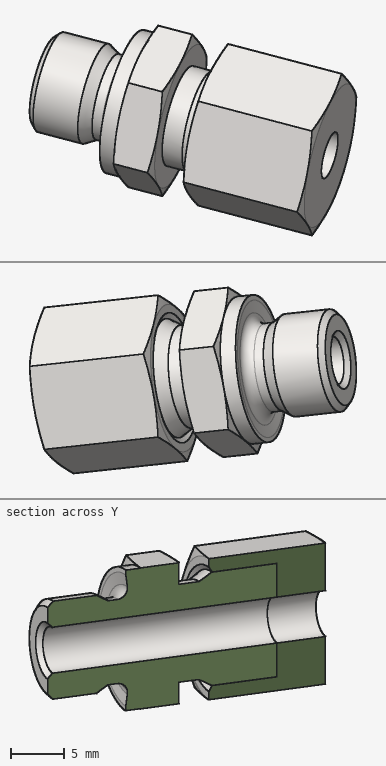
import cadquery as cq
import math


LENGTH = 28.5
HEX_FLATS = 14.0
HEX_CORNERS = HEX_FLATS / math.cos(math.radians(30))
HEX_CHAMFER_RADIUS = 6.98
HEX_CHAMFER_ANGLE = 15.0
BLANK_CLEARANCE = 0.28
BORE_RADIUS = 2.25
BORE_CHAMFER = 0.5

STUD_RADIUS = 4.87
STUD_CHAMFER = 0.57
STUD_LENGTH = 5.05
GROOVE_RADIUS = 4.2
GROOVE_END = 7.18
GROOVE_FILLET = 1.0
RUNOUT_SLOPE = math.tan(math.radians(30))

COLLAR_START = 8.0
COLLAR_RADIUS = HEX_CHAMFER_RADIUS
SEAL_ANGLE = math.radians(7.8)
BODY_HEX_START = 9.52
BODY_HEX_WIDTH = 4.0
BODY_HEX_END = BODY_HEX_START + BODY_HEX_WIDTH

NECK_RADIUS = STUD_RADIUS
NECK_END = 15.5
THREAD_RADIUS = 5.65
THREAD_START = NECK_END + (THREAD_RADIUS - NECK_RADIUS) / RUNOUT_SLOPE
BODY_END = 23.5

NUT_START = 16.53
NUT_LENGTH = LENGTH - NUT_START
NUT_COUNTERSINK_RADIUS = 6.15


def revolve_about_x(profile):
    """Turn a closed (X, radius) profile around the X axis."""
    return profile.close().revolve(360, (0, 0, 0), (1, 0, 0))


def chamfered_hexagon(start, length):
    """Hexagon with two flats facing +Z and -Z, its corners turned off conically at both ends."""
    blank_radius = HEX_CORNERS / 2 + BLANK_CLEARANCE
    chamfer_depth = (blank_radius - HEX_CHAMFER_RADIUS) * math.tan(math.radians(HEX_CHAMFER_ANGLE))
    end = start + length
    prism = cq.Workplane("YZ", origin=(start, 0, 0)).polygon(6, HEX_CORNERS).extrude(length)
    blank = revolve_about_x(
        cq.Workplane("XY")
        .moveTo(start, 0)
        .lineTo(start, HEX_CHAMFER_RADIUS)
        .lineTo(start + chamfer_depth, blank_radius)
        .lineTo(end - chamfer_depth, blank_radius)
        .lineTo(end, HEX_CHAMFER_RADIUS)
        .lineTo(end, 0)
    )
    return prism.intersect(blank)


def make_stud_and_collar():
    """Stud with chamfer and undercut groove, running by a fillet into the hollow collar face."""
    groove_start = STUD_LENGTH + (STUD_RADIUS - GROOVE_RADIUS) / RUNOUT_SLOPE
    fillet_center = GROOVE_RADIUS + GROOVE_FILLET

    def fillet_point(angle):
        return (
            GROOVE_END + GROOVE_FILLET * math.cos(angle),
            fillet_center + GROOVE_FILLET * math.sin(angle),
        )

    fillet_end = fillet_point(SEAL_ANGLE)
    fillet_middle = fillet_point((SEAL_ANGLE - math.pi / 2) / 2)
    rim_radius = fillet_end[1] + (fillet_end[0] - COLLAR_START) / math.tan(SEAL_ANGLE)
    return revolve_about_x(
        cq.Workplane("XY")
        .moveTo(0, 0)
        .lineTo(0, STUD_RADIUS - STUD_CHAMFER)
        .lineTo(STUD_CHAMFER, STUD_RADIUS)
        .lineTo(STUD_LENGTH, STUD_RADIUS)
        .lineTo(groove_start, GROOVE_RADIUS)
        .lineTo(GROOVE_END, GROOVE_RADIUS)
        .threePointArc(fillet_middle, fillet_end)
        .lineTo(COLLAR_START, rim_radius)
        .lineTo(COLLAR_START, COLLAR_RADIUS)
        .lineTo(BODY_HEX_START, COLLAR_RADIUS)
        .lineTo(BODY_HEX_START, 0)
    )


def make_neck_and_thread():
    """Neck behind the hexagon, widening by the thread runout cone to the nut thread."""
    return revolve_about_x(
        cq.Workplane("XY")
        .moveTo(BODY_HEX_END, 0)
        .lineTo(BODY_HEX_END, NECK_RADIUS)
        .lineTo(NECK_END, NECK_RADIUS)
        .lineTo(THREAD_START, THREAD_RADIUS)
        .lineTo(BODY_END, THREAD_RADIUS)
        .lineTo(BODY_END, 0)
    )


def make_body_bore():
    """Through bore with a chamfered mouth at the stud end."""
    return revolve_about_x(
        cq.Workplane("XY")
        .moveTo(0, 0)
        .lineTo(0, BORE_RADIUS + BORE_CHAMFER)
        .lineTo(BORE_CHAMFER, BORE_RADIUS)
        .lineTo(BODY_END, BORE_RADIUS)
        .lineTo(BODY_END, 0)
    )


def make_body():
    solid = make_stud_and_collar()
    solid = solid.union(chamfered_hexagon(BODY_HEX_START, BODY_HEX_WIDTH))
    solid = solid.union(make_neck_and_thread())
    return solid.cut(make_body_bore())


def make_nut():
    """Hexagon nut whose countersunk thread hole holds the body end, with the bore running on through."""
    thread_hole = revolve_about_x(
        cq.Workplane("XY")
        .moveTo(NUT_START, 0)
        .lineTo(NUT_START, NUT_COUNTERSINK_RADIUS)
        .lineTo(THREAD_START, THREAD_RADIUS)
        .lineTo(BODY_END, THREAD_RADIUS)
        .lineTo(BODY_END, 0)
    )
    rear_bore = (
        cq.Workplane("YZ", origin=(BODY_END, 0, 0)).circle(BORE_RADIUS).extrude(LENGTH - BODY_END)
    )
    return chamfered_hexagon(NUT_START, NUT_LENGTH).cut(thread_hole).cut(rear_bore)


body = make_body()
nut = make_nut()

result = cq.Compound.makeCompound([body.val(), nut.val()])